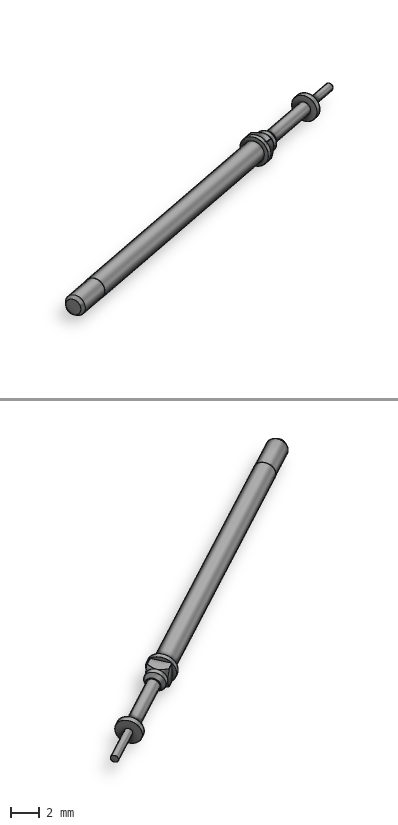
import cadquery as cq

total_length = 36.05
wire_end = total_length / 2
tail_end = -total_length / 2

wire_diameter = 0.6
disc_diameter = 2.05
stem_diameter = 1.0
shoulder_diameter = 1.2
barrel_diameter = 1.65
tail_diameter = 1.62
flange_diameter = 2.3
tail_face_diameter = 1.23

wire_length = 3.1
disc_thickness = 0.45
stem_length = 4.97
shoulder_taper = 0.35
neck_length = 0.4
square_length = 0.97
flange_thickness = 0.35
tail_length = 3.03
tail_chamfer = 0.3

square_width = barrel_diameter
square_bevel = (flange_diameter - barrel_diameter) / 2

disc_front = wire_end - wire_length
disc_back = disc_front - disc_thickness
shoulder_front = disc_back - stem_length
neck_front = shoulder_front - shoulder_taper
square_front = neck_front - neck_length
flange_front = square_front - square_length
flange_back = flange_front - flange_thickness
tail_front = tail_end + tail_length


def round_section(front, back, front_diameter, back_diameter=None):
    """Solid of revolution about Y between two stations, conical if the diameters differ."""
    if back_diameter is None:
        back_diameter = front_diameter
    profile = [
        (0, front),
        (front_diameter / 2, front),
        (back_diameter / 2, back),
        (0, back),
    ]
    return cq.Workplane("XY").polyline(profile).close().revolve(360, (0, 0), (0, 1))


def square_section():
    """Wrench square ahead of the flange, its corners rounded and bevelled by a turned blank."""
    bevel_back = square_front - square_bevel
    blank = round_section(square_front, bevel_back, barrel_diameter, flange_diameter)
    blank = blank.union(round_section(bevel_back, flange_front, flange_diameter))
    square = cq.Workplane("XY").box(square_width, square_length, square_width)
    return blank.intersect(square.translate((0, flange_front + square_length / 2, 0)))


wire = round_section(wire_end, disc_front, wire_diameter)
disc = round_section(disc_front, disc_back, disc_diameter)
stem = round_section(disc_back, shoulder_front, stem_diameter)
shoulder = round_section(shoulder_front, neck_front, shoulder_diameter, barrel_diameter)
neck = round_section(neck_front, square_front, barrel_diameter)
flange = round_section(flange_front, flange_back, flange_diameter)
barrel = round_section(flange_back, tail_front, barrel_diameter)
tail = round_section(tail_front, tail_end + tail_chamfer, tail_diameter)
tail_tip = round_section(tail_end + tail_chamfer, tail_end, tail_diameter, tail_face_diameter)

result = wire
for section in (disc, stem, shoulder, neck, square_section(), flange, barrel, tail, tail_tip):
    result = result.union(section)